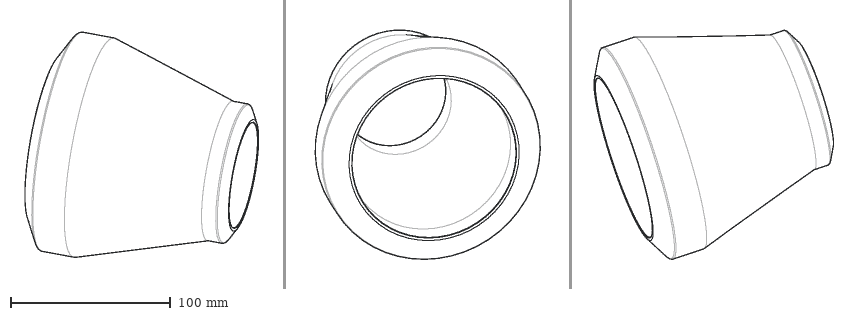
import cadquery as cq
import math

length = 127.0
large_outer_radius = 139.7 / 2
large_bore_radius = 104.7 / 2
small_outer_radius = 88.9 / 2
small_bore_radius = 66.9 / 2

large_collar_length = 30.0
small_collar_length = 15.0
large_bore_length = 17.0
small_bore_length = 18.0

root_face = 2.0
bore_chamfer = 0.3
bevel_angle = math.radians(30)
corner_radius = 1.0


def bevel_points(outer_radius, bore_radius):
    """Return (distance from the end face, radius) for the four points of one end.

    In order: start of the bevel, end of the bevel, middle of the rounded corner,
    and start of the straight collar.
    """
    root_radius = bore_radius + root_face
    sharp_corner = (outer_radius - root_radius) * math.tan(bevel_angle)
    turn = math.pi / 2 - bevel_angle
    tangent_length = corner_radius * math.tan(turn / 2)
    arc_center_x = sharp_corner + tangent_length
    arc_center_r = outer_radius - corner_radius

    def on_arc(angle):
        return (
            arc_center_x - corner_radius * math.sin(angle),
            arc_center_r + corner_radius * math.cos(angle),
        )

    return (0, root_radius), on_arc(turn), on_arc(turn / 2), on_arc(0)


def from_small_end(point):
    """Convert a distance from the small end face to an X coordinate."""
    distance, radius = point
    return (length - distance, radius)


large_end = bevel_points(large_outer_radius, large_bore_radius)
small_end = [from_small_end(p) for p in bevel_points(small_outer_radius, small_bore_radius)]
large_root, large_bevel_end, large_arc_middle, large_collar_start = large_end
small_root, small_bevel_end, small_arc_middle, small_collar_end = small_end

wall_profile = (
    cq.Workplane("XZ")
    .moveTo(large_bore_length, large_bore_radius)
    .lineTo(bore_chamfer, large_bore_radius)
    .lineTo(0, large_bore_radius + bore_chamfer)
    .lineTo(*large_root)
    .lineTo(*large_bevel_end)
    .threePointArc(large_arc_middle, large_collar_start)
    .lineTo(large_collar_length, large_outer_radius)
    .lineTo(length - small_collar_length, small_outer_radius)
    .lineTo(*small_collar_end)
    .threePointArc(small_arc_middle, small_bevel_end)
    .lineTo(*small_root)
    .lineTo(length, small_bore_radius + bore_chamfer)
    .lineTo(length - bore_chamfer, small_bore_radius)
    .lineTo(length - small_bore_length, small_bore_radius)
    .close()
)

result = wall_profile.revolve(360, (0, 0, 0), (1, 0, 0))